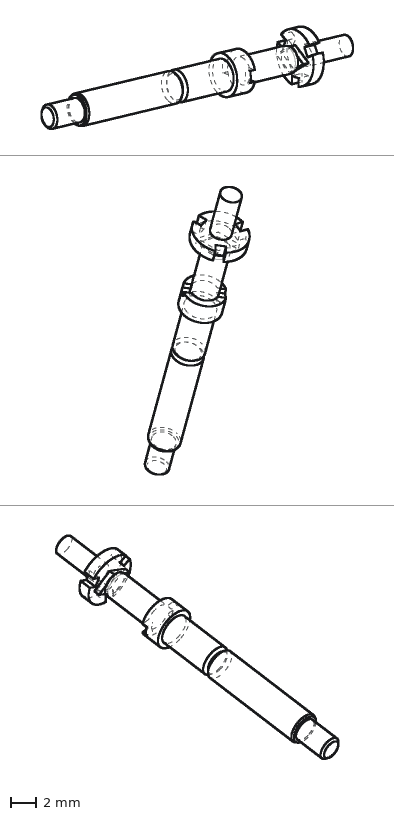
import cadquery as cq


tip_end = -17.93
tip_length = 3.0
barrel_front = tip_end + tip_length
groove_center = -4.95
collar_length = 1.85
collar_rear = collar_length
stem_length = 4.6
stem_rear = collar_rear + stem_length
lead_length = 0.35
wing_length = 0.55
wing_rear = stem_rear + lead_length + wing_length
flange_thickness = 1.05
flange_rear = wing_rear + flange_thickness
overall_length = 30.5
terminal_end = tip_end + overall_length

tip_radius = 1.0
barrel_radius = 1.34
collar_radius = 1.8
stem_radius = 1.15
terminal_radius = 0.89
flange_radius = 2.35

tip_chamfer = 0.2
barrel_chamfer_length = 0.19
barrel_chamfer_depth = 0.1
groove_depth = 0.27
lead_depth = 0.07
wing_half_width = 1.72
wing_half_height = 1.08
collar_slot_height = 1.0
collar_slot_depth = 0.47
flange_slot_count = 3
flange_slot_width = 0.85
flange_slot_floor_radius = 1.6


def make_pin():
    """Turned body from the tip to the rear of the stem, revolved about Y."""
    lead_end = stem_rear + lead_length
    profile = [
        (0, tip_end),
        (tip_radius - tip_chamfer, tip_end),
        (tip_radius, tip_end + tip_chamfer),
        (tip_radius, barrel_front),
        (barrel_radius - barrel_chamfer_depth, barrel_front),
        (barrel_radius, barrel_front + barrel_chamfer_length),
        (barrel_radius, groove_center - groove_depth),
        (barrel_radius - groove_depth, groove_center),
        (barrel_radius, groove_center + groove_depth),
        (barrel_radius, 0),
        (collar_radius, 0),
        (collar_radius, collar_rear),
        (stem_radius, collar_rear),
        (stem_radius, stem_rear),
        (stem_radius - lead_depth, lead_end),
        (0, lead_end),
    ]
    return cq.Workplane("XY").polyline(profile).close().revolve(360, (0, 0, 0), (0, 1, 0))


def plane_at(y):
    """Workplane across the pin at the given Y, facing +Y, with local x = X and y = -Z."""
    return cq.Workplane(cq.Plane(origin=(0, y, 0), xDir=(1, 0, 0), normal=(0, 1, 0)))


def make_wing():
    """Diamond-section block joining the stem to the flange."""
    corners = [
        (wing_half_width, 0),
        (0, wing_half_height),
        (-wing_half_width, 0),
        (0, -wing_half_height),
    ]
    return plane_at(wing_rear - wing_length).polyline(corners).close().extrude(wing_length)


def make_flange():
    """Round flange with equally spaced rim slots, the first one pointing to -Z."""
    flange = plane_at(wing_rear).circle(flange_radius).extrude(flange_thickness)
    slot_length = flange_radius
    slot = cq.Workplane("XY").box(flange_slot_width, flange_thickness, slot_length)
    slot = slot.translate((
        0,
        wing_rear + flange_thickness / 2,
        -flange_slot_floor_radius - slot_length / 2,
    ))
    for index in range(flange_slot_count):
        angle = index * 360 / flange_slot_count
        flange = flange.cut(slot.rotate((0, 0, 0), (0, 1, 0), angle))
    return flange


def make_terminal():
    """Plain round terminal behind the flange."""
    return plane_at(flange_rear).circle(terminal_radius).extrude(terminal_end - flange_rear)


def make_collar_slots():
    """Cutter for the two side slots in the collar's rear face, down to the stem surface."""
    cutter = cq.Workplane("XY").box(2 * collar_radius, collar_slot_depth, collar_slot_height)
    cutter = cutter.translate((0, collar_rear - collar_slot_depth / 2, 0))
    core = plane_at(0).circle(stem_radius).extrude(collar_length)
    return cutter.cut(core)


pin = make_pin().cut(make_collar_slots())
result = pin.union(make_wing()).union(make_flange()).union(make_terminal())